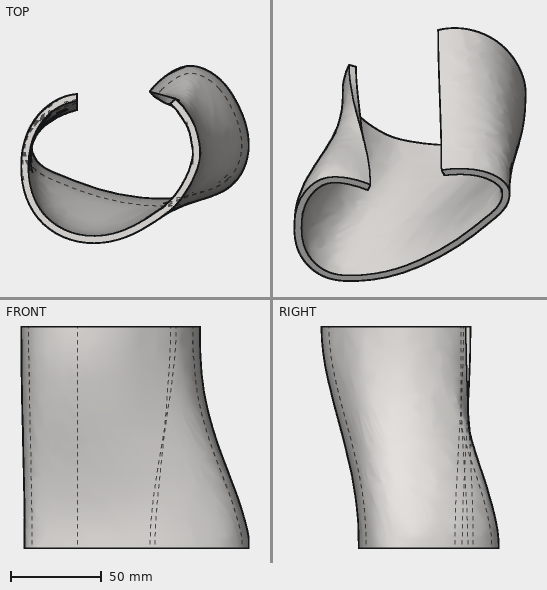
import cadquery as cq
import math

height = 122.0
wall = 4.0
section_count = 9

even_lag = 1.0
shoulder_lag = 1.2
bulge_lag = 1.4

outer_stations = [
    ((30.9, 82.2), (30.9, 77.3), even_lag),
    ((18.1, 77.9), (11.9, 68.9), even_lag),
    ((6.7, 66.6), (4.6, 60.8), even_lag),
    ((0.1, 44.0), (2.0, 51.8), even_lag),
    ((7.2, 16.7), (6.7, 41.7), even_lag),
    ((18.6, 5.8), (20.2, 33.8), even_lag),
    ((37.6, 0.0), (38.6, 26.9), even_lag),
    ((55.3, 2.4), (61.1, 21.7), even_lag),
    ((75.3, 12.8), (84.2, 20.9), even_lag),
    ((86.3, 22.0), (101.9, 24.6), even_lag),
    ((94.1, 33.9), (118.6, 34.4), shoulder_lag),
    ((98.6, 48.4), (125.4, 51.8), bulge_lag),
    ((97.5, 58.4), (119.6, 76.1), bulge_lag),
    ((95.2, 65.7), (107.4, 92.1), bulge_lag),
    ((92.4, 70.9), (92.6, 97.6), shoulder_lag),
    ((89.2, 75.3), (80.8, 92.9), shoulder_lag),
    ((85.3, 79.5), (70.9, 83.4), even_lag),
]


def blend(start, end, drop):
    """S-shaped change from start to end as drop goes from 0 to 1."""
    return start + (end - start) * drop * drop * (3 - 2 * drop)


def outer_points(drop):
    """Outer face stations at a fraction of the height below the top rim."""
    return [
        (blend(top[0], bottom[0], drop**lag), blend(top[1], bottom[1], drop**lag))
        for top, bottom, lag in outer_stations
    ]


def inner_points(outer):
    """Outer stations moved inward, square to the wall, by its thickness."""
    last = len(outer) - 1
    inner = [(outer[0][0], outer[0][1] - wall)]
    for i in range(1, last + 1):
        before = outer[i - 1]
        after = outer[min(i + 1, last)]
        run_x = after[0] - before[0]
        run_y = after[1] - before[1]
        length = math.hypot(run_x, run_y)
        inner.append((outer[i][0] - wall * run_y / length, outer[i][1] + wall * run_x / length))
    return inner


def wall_section(drop):
    """Closed C-shaped outline of the wall at one level."""
    z = height * (1 - drop)
    outer = [cq.Vector(x, y, z) for x, y in outer_points(drop)]
    inner = [cq.Vector(x, y, z) for x, y in inner_points(outer_points(drop))]
    inner.reverse()
    edges = [
        cq.Edge.makeSpline(outer),
        cq.Edge.makeLine(outer[-1], inner[0]),
        cq.Edge.makeSpline(inner),
        cq.Edge.makeLine(inner[-1], outer[0]),
    ]
    return cq.Wire.assembleEdges(edges)


sections = [wall_section(1 - i / (section_count - 1)) for i in range(section_count)]
result = cq.Workplane(cq.Solid.makeLoft(sections, False))